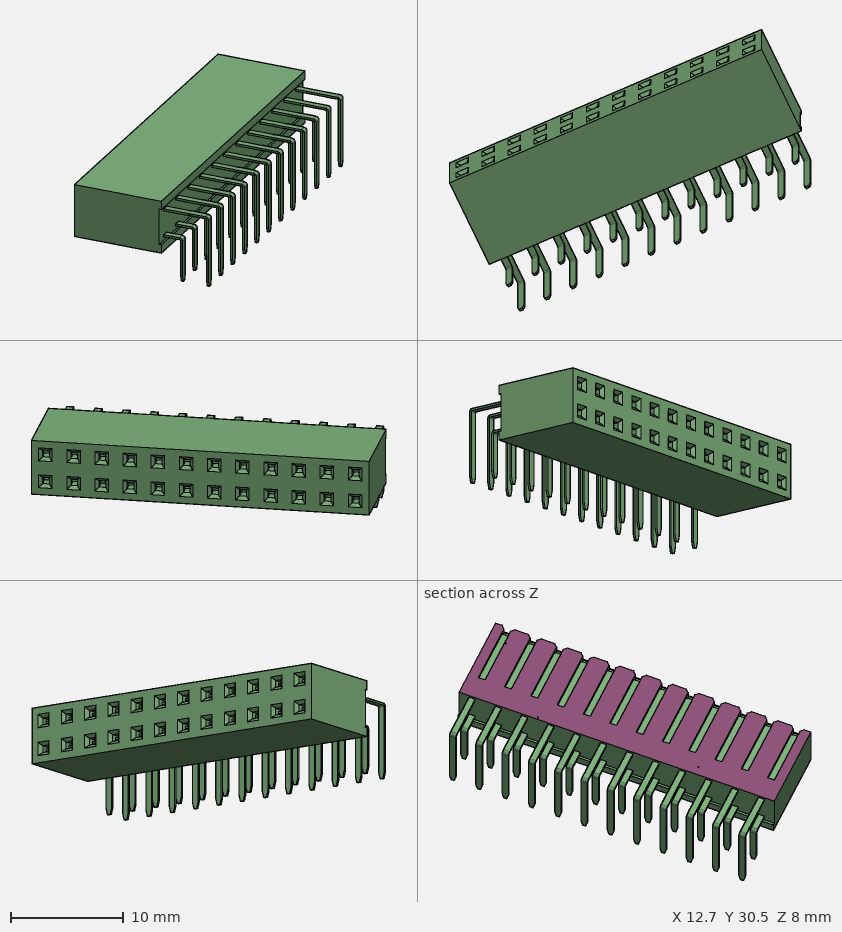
import cadquery as cq

OVERALL_X = 12.68
OVERALL_Z = 8.0
BODY_LENGTH = 30.48
COLUMNS = 12
ROWS = 2
PITCH = BODY_LENGTH / COLUMNS

BODY_DEPTH = 8.5
BODY_HEIGHT = ROWS * PITCH
BODY_BOTTOM = OVERALL_Z - BODY_HEIGHT
BACK_LIP_HEIGHT = 0.82
BACK_RECESS_DEPTH = 0.2

SOCKET_MOUTH = 1.22
SOCKET_BORE = 0.6
FUNNEL_DEPTH = (SOCKET_MOUTH - SOCKET_BORE) / 2
SOCKET_DEPTH = 6.1

PIN_WIDTH = 0.6
PIN_THICKNESS = 0.2
BEND_OUTER_RADIUS = 0.3
BEND_INNER_RADIUS = BEND_OUTER_RADIUS - PIN_THICKNESS
BLADE_START = 0.75
TIP_LENGTH = 0.58
TIP_WIDTH = 0.3


def column_y(column):
    return (column - (COLUMNS - 1) / 2) * PITCH


def row_z(row):
    return BODY_BOTTOM + (row + 0.5) * PITCH


def make_body():
    body = cq.Workplane("XY").box(BODY_DEPTH, BODY_LENGTH, BODY_HEIGHT, centered=(False, True, False))
    recess = cq.Workplane("XY").box(
        BACK_RECESS_DEPTH, BODY_LENGTH, BODY_HEIGHT - 2 * BACK_LIP_HEIGHT, centered=(False, True, False)
    )
    recess = recess.translate((BODY_DEPTH - BACK_RECESS_DEPTH, 0, BACK_LIP_HEIGHT))
    return body.cut(recess).translate((0, 0, BODY_BOTTOM))


def make_socket():
    """Square bore with a funnel mouth, centred on the X axis."""
    funnel = (
        cq.Workplane("YZ")
        .rect(SOCKET_MOUTH, SOCKET_MOUTH)
        .workplane(offset=FUNNEL_DEPTH)
        .rect(SOCKET_BORE, SOCKET_BORE)
        .loft(ruled=True)
    )
    bore = cq.Workplane("YZ").rect(SOCKET_BORE, SOCKET_BORE).extrude(SOCKET_DEPTH)
    return funnel.union(bore)


def make_pin(row):
    """Right-angle pin of one row, centred on Y = 0; upper rows reach further back."""
    top = row_z(row) + PIN_THICKNESS / 2
    outer_x = OVERALL_X - (ROWS - 1 - row) * PITCH
    bar = (
        cq.Workplane("XZ")
        .moveTo(BLADE_START, top)
        .lineTo(outer_x - BEND_OUTER_RADIUS, top)
        .radiusArc((outer_x, top - BEND_OUTER_RADIUS), BEND_OUTER_RADIUS)
        .lineTo(outer_x, 0)
        .lineTo(outer_x - PIN_THICKNESS, 0)
        .lineTo(outer_x - PIN_THICKNESS, top - BEND_OUTER_RADIUS)
        .radiusArc((outer_x - BEND_OUTER_RADIUS, top - PIN_THICKNESS), -BEND_INNER_RADIUS)
        .lineTo(BLADE_START, top - PIN_THICKNESS)
        .close()
        .extrude(PIN_WIDTH / 2, both=True)
    )
    side = PIN_WIDTH / 2
    tip = TIP_WIDTH / 2
    width_outline = (
        cq.Workplane("YZ")
        .polyline([
            (-tip, 0),
            (tip, 0),
            (side, TIP_LENGTH),
            (side, OVERALL_Z),
            (-side, OVERALL_Z),
            (-side, TIP_LENGTH),
        ])
        .close()
        .extrude(OVERALL_X)
    )
    return bar.intersect(width_outline).val()


def pin_grid():
    pins = []
    for row in range(ROWS):
        pin = make_pin(row)
        pins += [pin.translate(cq.Vector(0, column_y(column), 0)) for column in range(COLUMNS)]
    return pins


def socket_grid():
    socket = make_socket().val()
    return [
        socket.translate(cq.Vector(0, column_y(column), row_z(row)))
        for row in range(ROWS)
        for column in range(COLUMNS)
    ]


body = make_body().val().cut(*socket_grid())
result = cq.Workplane("XY").newObject([body.fuse(*pin_grid())])